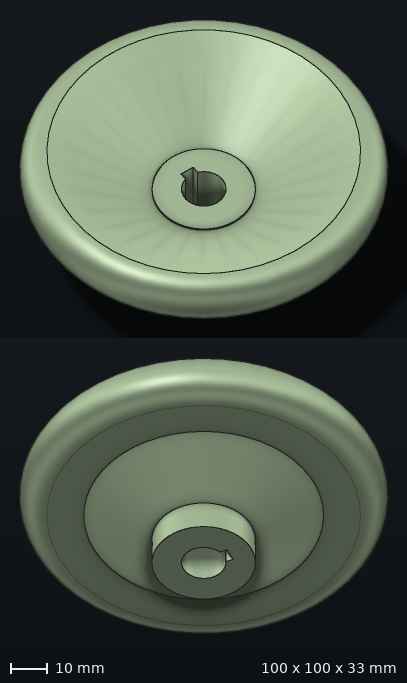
import cadquery as cq

outer_radius = 50.0
rim_radius = 7.5
height = 33.0
rim_centre_radius = outer_radius - rim_radius
rim_centre_z = height - rim_radius
rim_bottom_z = height - 2 * rim_radius

hub_radius = 14.0
hub_top_z = 17.0

dish_outer_radius = 32.5
dish_under_hub_z = 9.0
dish_inside_hub_z = 16.5

bore_radius = 6.0
key_width = 4.0
key_reach = 7.8


def make_wheel():
    """Bored hub, dish and rim as one revolved section."""
    section = (
        cq.Workplane("XZ")
        .moveTo(bore_radius, 0)
        .lineTo(hub_radius, 0)
        .lineTo(hub_radius, dish_under_hub_z)
        .lineTo(dish_outer_radius, rim_bottom_z)
        .lineTo(rim_centre_radius, rim_bottom_z)
        .threePointArc((outer_radius, rim_centre_z), (rim_centre_radius, height))
        .lineTo(hub_radius, dish_inside_hub_z)
        .lineTo(hub_radius, hub_top_z)
        .lineTo(bore_radius, hub_top_z)
        .close()
    )
    return section.revolve(360, (0, 0), (0, 1))


def make_keyway():
    """Slot through the hub on the -X side of the bore."""
    return (
        cq.Workplane("XY")
        .center(-key_reach / 2, 0)
        .rect(key_reach, key_width)
        .extrude(hub_top_z)
    )


result = make_wheel().cut(make_keyway())